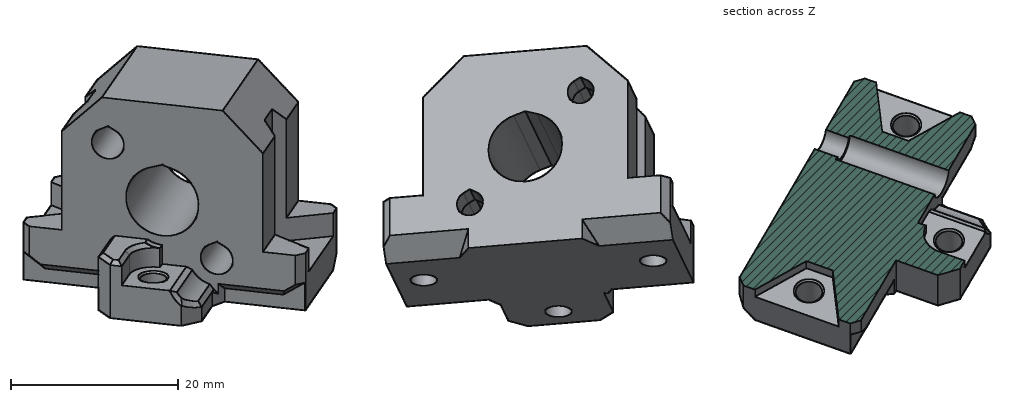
import cadquery as cq
import math

base_length = 35.0
overall_depth = 23.5
body_depth = 16.0
body_height = 25.3
base_height = 7.45
block_width = 25.0
block_chamfer = 5.0
corner_chamfer = 0.98

bore_height = 12.65
bore_diameter = 9.0
hole_offset = 6.75
screw_diameter = 3.2
screw_head_diameter = 4.0
screw_head_depth = 13.0
peak_rise = 0.25

pocket_floor = 4.45
pocket_bottom_x = 10.95
pocket_bottom_half_width = 1.7
pocket_flare_angle = 30.0
mount_hole_x = 14.0
hole_chamfer = 0.228

front_relief_depth = 0.9
front_relief_height = 2.65
corner_relief_height = 3.65
rear_relief_size = 2.52
key_half_width = 6.93
key_taper = math.tan(math.radians(32.0))

tab_half_width = 6.4
tab_length = overall_depth - body_depth
tab_corner_chamfer = 2.0
tab_edge_chamfer = 0.52
tab_hole_y = -4.02
tab_recess_radius = 2.98
head_clearance_radius = 3.5

overlap = 0.35


def prism_along_y(points, start, end):
    """Extrude an XZ outline from Y = start to Y = end."""
    return cq.Workplane("XZ", origin=(0, start, 0)).polyline(points).close().extrude(start - end)


def box_between(low, high):
    """Make a box from its two opposite corners."""
    size = [b - a for a, b in zip(low, high)]
    return cq.Workplane("XY").box(*size, centered=False).translate(low)


def both_sides(shape):
    """Join a shape with its mirror image across the YZ plane."""
    return shape.union(shape.mirror("YZ"))


def peaked_hole(x, z, diameter, length):
    """Horizontal hole from the front face, with a low peak along its roof."""
    radius = diameter / 2
    angle = math.acos(radius / (radius + peak_rise))
    side_x = radius * math.sin(angle)
    side_z = radius * math.cos(angle)
    outline = (
        cq.Workplane("XZ", origin=(x, 0, z))
        .moveTo(-side_x, side_z)
        .threePointArc((0, -radius), (side_x, side_z))
        .lineTo(0, radius + peak_rise)
        .close()
    )
    return outline.extrude(-length)


def vertical_hole(x, y, top):
    """Vertical through hole with a small chamfer at its upper rim."""
    radius = screw_diameter / 2
    rim = radius + hole_chamfer
    profile = [(0, 0), (radius, 0), (radius, top - hole_chamfer), (rim, top), (0, top)]
    hole = cq.Workplane("XZ").polyline(profile).close().revolve(360, (0, 0, 0), (0, 1, 0))
    return hole.translate((x, y, 0))


def make_body():
    base = box_between((-base_length / 2, 0, 0), (base_length / 2, body_depth, base_height))
    base = base.edges("|Z").chamfer(corner_chamfer)
    block = box_between((-block_width / 2, 0, 0), (block_width / 2, body_depth, body_height))
    block = block.edges("|Y and >Z").chamfer(block_chamfer)
    return base.union(block)


def make_side_pocket():
    """Flared left pocket, open upward and to the side, together with its hole."""
    outer_x = base_length / 2 + overlap
    flare = (outer_x - pocket_bottom_x) * math.tan(math.radians(pocket_flare_angle))
    mouth = pocket_bottom_half_width + flare
    outline = [
        (-outer_x, -mouth),
        (-pocket_bottom_x, -pocket_bottom_half_width),
        (-pocket_bottom_x, pocket_bottom_half_width),
        (-outer_x, mouth),
    ]
    pocket = cq.Workplane("XY").polyline(outline).close().extrude(body_height - pocket_floor)
    pocket = pocket.translate((0, body_depth / 2, pocket_floor))
    return pocket.union(vertical_hole(-mount_hole_x, body_depth / 2, pocket_floor))


def make_relief_plan(depth, height):
    """Left relief footprint, widening outwards from the key with increasing depth."""
    outer_x = base_length / 2 + overlap
    outline = [
        (-outer_x, -overlap),
        (-key_half_width + overlap * key_taper, -overlap),
        (-key_half_width - depth * key_taper, depth),
        (-outer_x, depth),
    ]
    return cq.Workplane("XY").polyline(outline).close().extrude(height)


def make_front_relief():
    """Left front relief with a 45 degree roof that rises towards the corner."""
    profile = [
        (-overlap, 0),
        (-overlap, front_relief_height + overlap),
        (front_relief_height, 0),
    ]
    straight_roof = cq.Workplane("YZ").polyline(profile).close().extrude(-base_length)
    corner_profile = [
        (-overlap, 0),
        (-overlap, corner_relief_height),
        (0, corner_relief_height),
        (corner_relief_height, 0),
    ]
    corner_roof = cq.Workplane("XZ").polyline(corner_profile).close().extrude(base_length / 2, both=True)
    corner_roof = corner_roof.rotate((0, 0, 0), (0, 0, 1), 45)
    corner_roof = corner_roof.translate((-base_length / 2 + corner_chamfer, 0, 0))
    plan = make_relief_plan(front_relief_depth, base_height)
    return plan.intersect(straight_roof.union(corner_roof))


def make_rear_relief():
    """Left 45 degree relief under the rear edge."""
    plan = make_relief_plan(rear_relief_size, rear_relief_size)
    profile = [(0, 0), (0, rear_relief_size), (rear_relief_size, 0)]
    slope = cq.Workplane("YZ").polyline(profile).close().extrude(-base_length)
    return plan.intersect(slope).mirror("XZ").translate((0, body_depth, 0))


def make_tab_recess():
    """Stepped recess around the tab hole, with a chamfered upper rim on its left."""
    rim_radius = tab_recess_radius + tab_edge_chamfer
    rim_start = base_height - tab_edge_chamfer
    front = -tab_length - overlap
    right = tab_half_width + overlap
    recess = box_between((0, front, pocket_floor), (right, 0, base_height))
    straight_profile = [
        (0, pocket_floor),
        (-tab_recess_radius, pocket_floor),
        (-tab_recess_radius, rim_start),
        (-rim_radius, base_height),
        (0, base_height),
    ]
    recess = recess.union(prism_along_y(straight_profile, front, tab_hole_y))
    rounded = cq.Workplane("XZ").polyline(straight_profile).close().revolve(360, (0, 0, 0), (0, 1, 0))
    rear = tab_hole_y + tab_recess_radius
    rounded = rounded.translate((0, tab_hole_y, 0))
    rounded = rounded.intersect(box_between((-right, front, 0), (right, rear, base_height)))
    half_width = math.sqrt(rim_radius**2 - tab_recess_radius**2)
    dip_radius = (half_width**2 + tab_edge_chamfer**2) / (2 * tab_edge_chamfer)
    dip = cq.Workplane("XZ", origin=(0, rear, rim_start + dip_radius)).circle(dip_radius).extrude(rear)
    return recess.union(rounded).union(dip)


def make_head_clearance():
    """Round clearance for the low screw head, running the length of the tab."""
    axis = cq.Workplane("XZ", origin=(hole_offset, 0, bore_height - hole_offset))
    return axis.circle(head_clearance_radius).extrude(tab_length + overlap)


def make_clearance_bevel():
    """Bevel from the recess floor down to the round screw head clearance."""
    screw_z = bore_height - hole_offset
    flare_radius = head_clearance_radius + tab_edge_chamfer
    floor_x = hole_offset - math.sqrt(flare_radius**2 - (screw_z - pocket_floor) ** 2)
    bevel_x = floor_x + tab_edge_chamfer * math.sqrt(2)
    bevel_z = screw_z - math.sqrt(head_clearance_radius**2 - (hole_offset - bevel_x) ** 2)
    points = [(floor_x, pocket_floor), (bevel_x, bevel_z), (hole_offset, pocket_floor)]
    return prism_along_y(points, -tab_length - overlap, overlap)


def make_tab():
    tab = box_between((-tab_half_width, -tab_length, 0), (tab_half_width, overlap, base_height))
    tab = tab.edges("|Z and <Y").chamfer(tab_corner_chamfer)
    tab = tab.faces(">Z").edges("not >Y").chamfer(tab_edge_chamfer)
    tab = tab.cut(make_tab_recess()).cut(make_head_clearance())
    lip_region = cq.selectors.BoxSelector(
        (tab_recess_radius, -tab_length - overlap, overlap),
        (tab_half_width + overlap, 0, pocket_floor - overlap),
    )
    tab = tab.edges(lip_region).edges("not |Z").chamfer(tab_edge_chamfer)
    return tab.cut(make_clearance_bevel())


def make_tab_wedge():
    """Continue the right key taper forward as a wedge beside the tab."""
    reach = (key_half_width - tab_half_width) / key_taper
    plan = [(0, overlap), (key_half_width, overlap), (key_half_width, 0), (tab_half_width, -reach), (0, -reach)]
    wedge = cq.Workplane("XY").polyline(plan).close().extrude(base_height)
    flare_radius = head_clearance_radius + tab_edge_chamfer
    rise = math.sqrt(flare_radius**2 - (hole_offset - tab_half_width) ** 2)
    top = bore_height - hole_offset - rise
    drop = key_half_width - tab_half_width
    profile = [
        (tab_half_width - overlap, 0),
        (tab_half_width - overlap, top),
        (tab_half_width, top),
        (key_half_width, top - drop),
        (key_half_width, 0),
    ]
    return wedge.intersect(prism_along_y(profile, -reach, overlap))


def make_screw_hole(side):
    """Counterbored hole on the diagonal through the bore axis."""
    x = side * hole_offset
    z = bore_height - side * hole_offset
    shank = peaked_hole(x, z, screw_diameter, body_depth)
    return shank.union(peaked_hole(x, z, screw_head_diameter, screw_head_depth))


body = make_body()
for relief in (make_front_relief(), make_rear_relief(), make_side_pocket()):
    body = body.cut(both_sides(relief))
result = body.union(make_tab()).union(make_tab_wedge())
result = result.cut(peaked_hole(0, bore_height, bore_diameter, body_depth))
for side in (-1, 1):
    result = result.cut(make_screw_hole(side))
result = result.cut(vertical_hole(0, tab_hole_y, pocket_floor))